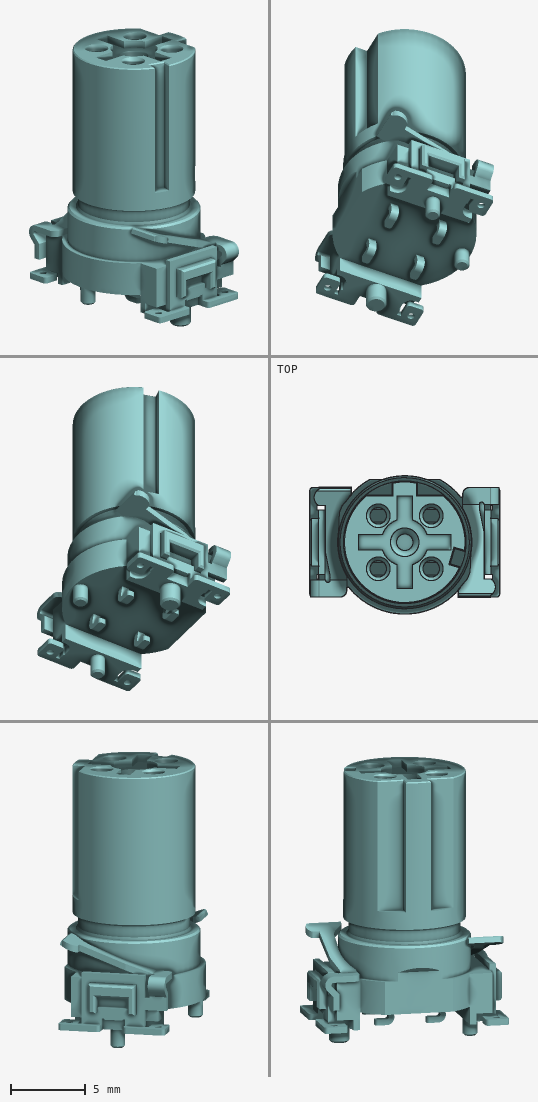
import cadquery as cq
import math

total_height = 18.35
feet_bottom_z = 1.35
base_bottom_z = 2.57
base_top_z = 4.83
collar_top_z = 7.21
barrel_bottom_z = 8.28
notch_bottom_z = 9.47

barrel_dia = 8.2
rim_chamfer = 0.07
neck_dia = 7.5
neck_flare_r = 3.89
neck_flare_height = 0.17
barrel_lip_r = 3.84
collar_dia = 8.9
collar_chamfer = 0.13
base_r = 4.8
base_flat_y = 4.2
flat_slope_bottom_z = 5.41
flat_slope_top_z = 5.73
block_outer_x = 5.34
block_inner_x = 3.78
block_half_y = 3.01

peg_x = 4.5
locating_peg_dia = 1.0
wide_peg_dia = 1.38
post_dia = 1.01
post_y = -4.24
peg_chamfer = 0.13

bore_pitch = 3.55
bore_dia = 1.1
bore_mouth_r = 0.79
centre_mouth_r = 1.9 / 2
mouth_depth = 0.4
cross_depth = 0.5
cross_arm_length = 3.08
cross_arm_width = 1.03
cross_hub_r = 1.58
key_ledge_y = 3.15
key_tab_width = 1.72
slot_width = 1.06
slot_inner_r = 3.32
slot_angle = -16.3

sheet = 0.42
clip_outer_x = 6.35
plate_half_y = 2.17
plate_outer_x = block_outer_x + sheet
tab_top_z = base_top_z + sheet

catch_half_y = 1.58
catch_bottom_z = 2.6
catch_top_z = 4.59
catch_leg_width = 0.45
catch_bar_height = 0.85
catch_chamfer = 0.13
window_gap = 0.05
tongue_top_z = 2.92

foot_top_z = feet_bottom_z + sheet
foot_inner_x = 4.73
foot_pad_y = 2.45
foot_notch_x = 5.85
foot_end_y = 3.67
foot_gap_half_y = 0.8
foot_corner_r = 0.22
foot_hole_dia = 0.5
foot_hole_x = 5.58
foot_hole_y = 3.06
edge_notch_top_z = 2.11
relief_width = 0.18
relief_height = 0.07

pocket_top_z = 2.1
pocket_inner_x = 4.22
pocket_inner_y = 2.1
pocket_corner_r = 0.66

arm_root_y = 2.51
arm_end_y = 3.67
tab_inner_x = 3.87
tab_corner_r = 0.45
ear_top_z = 3.73
curl_outer_x = 6.31
curl_outer_r = 0.59
curl_inner_r = curl_outer_r - sheet
arm_tilt = 20.0
arm_tip_y = 3.55
arm_tip_chamfer = 0.11
arm_outer_x = 5.28
arm_inner_x = 4.37
arm_slit_x = 5.0
arm_slit_y = 2.2
arm_slit_end_y = 2.68
arm_slit_corner_r = 0.13
arm_taper_y = 0.73
head_y = 2.44
head_round_x = 5.75
head_outer_x = 6.05
head_inner_x = 3.56
head_inner_y = 3.17
neck_corner_x = 4.18
neck_top_y = 1.98
collar_gap = 0.04
collar_clearance_r = collar_dia / 2 + collar_gap
waist_end_angle = 10.0

contact_top_z = notch_bottom_z
contact_flat_height = 0.73
contact_flat_half_y = 0.4
leg_width = 0.55
leg_sheet = 0.39
leg_bend_x = -0.05
leg_bend_z = 1.93
leg_bottom_z = 1.4
leg_outer_r = leg_bend_z - leg_bottom_z
leg_inner_r = leg_outer_r - leg_sheet
leg_lean = 15.0
leg_tip_x = 0.72
leg_tip_corner_r = 0.18

bore_centres = [(sx * bore_pitch / 2, sy * bore_pitch / 2) for sx in (-1, 1) for sy in (-1, 1)]


def box(x0, x1, y0, y1, z0, z1):
    """Axis-aligned box between two corners."""
    return cq.Workplane("XY").box(x1 - x0, y1 - y0, z1 - z0, centered=False).translate((x0, y0, z0))


def disc(diameter, z0, z1, x=0.0, y=0.0):
    """Upright cylinder between two heights."""
    return cq.Workplane("XY", origin=(x, y, z0)).circle(diameter / 2).extrude(z1 - z0)


def housing_body():
    """Turned barrel, neck and collar, keyed at the rim, on a round base with one flat side."""
    barrel_r = barrel_dia / 2
    neck_r = neck_dia / 2
    collar_r = collar_dia / 2
    turned = (
        cq.Workplane("XZ")
        .moveTo(0, base_top_z)
        .lineTo(collar_r, base_top_z)
        .lineTo(collar_r, collar_top_z - collar_chamfer)
        .lineTo(collar_r - collar_chamfer, collar_top_z)
        .lineTo(neck_flare_r, collar_top_z)
        .lineTo(neck_r, collar_top_z + neck_flare_height)
        .lineTo(neck_r, barrel_bottom_z - neck_flare_height)
        .lineTo(barrel_lip_r, barrel_bottom_z)
        .lineTo(barrel_r, barrel_bottom_z)
        .lineTo(barrel_r, total_height)
        .lineTo(0, total_height)
        .close()
        .revolve(360, (0, 0, 0), (0, 1, 0))
    )
    flat_cutter = (
        cq.Workplane("YZ")
        .polyline([
            (base_flat_y, base_bottom_z),
            (base_flat_y, flat_slope_bottom_z),
            (collar_r, flat_slope_top_z),
            (base_r, flat_slope_top_z),
            (base_r, base_bottom_z),
        ])
        .close()
        .extrude(base_r, both=True)
    )
    barrel = turned.cut(key_recesses()).cut(rim_slot()).faces(">Z").edges().chamfer(rim_chamfer)
    return barrel.union(disc(2 * base_r, base_bottom_z, base_top_z)).cut(flat_cutter)


def side_block():
    """Block that carries one clip on the -X side, with its catch and foot pockets."""
    upper = box(-block_outer_x, 0, -block_half_y, block_half_y, base_bottom_z, base_top_z)
    lower = box(-block_outer_x, -block_inner_x, -block_half_y, block_half_y, feet_bottom_z, base_bottom_z)
    block = upper.union(lower)
    for side in (-1, 1):
        y0, y1 = sorted((side * pocket_inner_y, side * block_half_y))
        pocket = box(-block_outer_x, -pocket_inner_x, y0, y1, feet_bottom_z, pocket_top_z)
        inner_corner = "|Z and >X and " + ("<Y" if side > 0 else ">Y")
        block = block.cut(pocket.edges(inner_corner).fillet(pocket_corner_r))
    return block.union(catch())


def catch():
    """Arch-shaped catch that stands out through the clip window."""
    bar = box(-clip_outer_x, -block_outer_x, -catch_half_y, catch_half_y, catch_bottom_z, catch_top_z)
    opening_half_y = catch_half_y - catch_leg_width
    opening_top_z = catch_top_z - catch_bar_height
    opening = box(
        -clip_outer_x, -block_outer_x, -opening_half_y, opening_half_y, catch_bottom_z, opening_top_z
    )
    return bar.cut(opening).faces("<X").edges().chamfer(catch_chamfer)


def foot_peg(diameter, x, y, z0, z1):
    """Round peg with a chamfered tip."""
    return disc(diameter, z0, z1, x, y).faces("<Z").chamfer(peg_chamfer)


def flared_mouth(x, y, mouth_r, top_z):
    """Conical cutter that widens a bore to the mouth radius."""
    mouth = cq.Solid.makeCone(
        bore_dia / 2, mouth_r, mouth_depth, cq.Vector(x, y, top_z - mouth_depth), cq.Vector(0, 0, 1)
    )
    return cq.Workplane(mouth)


def cross_recess():
    """Cutter for the cross with a round hub in the mating face."""
    floor_z = total_height - cross_depth
    half = cross_arm_width / 2
    arm_x = box(-cross_arm_length, cross_arm_length, -half, half, floor_z, total_height)
    arm_y = box(-half, half, -cross_arm_length, cross_arm_length, floor_z, total_height)
    return disc(2 * cross_hub_r, floor_z, total_height).union(arm_x).union(arm_y)


def key_recesses():
    """Cutter for the two ledges that leave a key tab on the +Y side of the barrel."""
    reach = barrel_dia / 2
    ledge = box(-reach, reach, key_ledge_y, reach, notch_bottom_z, total_height)
    tab = box(-key_tab_width / 2, key_tab_width / 2, key_ledge_y, reach, notch_bottom_z, total_height)
    return ledge.cut(tab)


def rim_slot():
    """Cutter for the radial slot in the barrel rim, long enough to open through the wall."""
    half = slot_width / 2
    slot = box(slot_inner_r, collar_dia / 2, -half, half, notch_bottom_z, total_height)
    return slot.rotate((0, 0, 0), (0, 0, 1), slot_angle)


def make_housing():
    """Housing with both side blocks, its pegs and post, and the openings of the mating face."""
    block = side_block()
    housing = housing_body().union(block).union(block.rotate((0, 0, 0), (0, 0, 1), 180))
    housing = (
        housing.union(foot_peg(locating_peg_dia, -peg_x, 0, 0, feet_bottom_z))
        .union(foot_peg(wide_peg_dia, peg_x, 0, 0, feet_bottom_z))
        .union(foot_peg(post_dia, 0, post_y, feet_bottom_z, base_bottom_z))
    )
    floor_z = total_height - cross_depth
    housing = housing.cut(cross_recess()).cut(flared_mouth(0, 0, centre_mouth_r, floor_z))
    for x, y in bore_centres:
        housing = housing.cut(flared_mouth(x, y, bore_mouth_r, total_height))
        housing = housing.cut(disc(bore_dia, base_bottom_z, total_height, x, y))
    return housing


def clip_plate():
    """Upright plate with a window around the catch and an ear below the arm."""
    plate = box(-plate_outer_x, -block_outer_x, -plate_half_y, plate_half_y, foot_top_z, tab_top_z)
    ear = box(-plate_outer_x, -block_outer_x, -arm_end_y, -plate_half_y, tongue_top_z, ear_top_z)
    window_half_y = catch_half_y + window_gap
    window_bottom_z = catch_bottom_z - window_gap
    window_top_z = catch_top_z + window_gap
    window = box(
        -plate_outer_x, -block_outer_x, -window_half_y, window_half_y, window_bottom_z, window_top_z
    )
    tongue_half_y = catch_half_y - catch_leg_width - window_gap
    tongue = box(
        -plate_outer_x, -block_outer_x, -tongue_half_y, tongue_half_y, window_bottom_z, tongue_top_z
    )
    edge_notch = box(
        -plate_outer_x, -block_outer_x, -foot_gap_half_y, foot_gap_half_y, foot_top_z, edge_notch_top_z
    )
    plate = plate.union(ear).cut(window).union(tongue).cut(edge_notch)
    for y in (-foot_gap_half_y, foot_gap_half_y - relief_width):
        relief_top_z = edge_notch_top_z + relief_height
        plate = plate.cut(
            box(-plate_outer_x, -block_outer_x, y, y + relief_width, foot_top_z, relief_top_z)
        )
    return plate


def clip_foot():
    """Soldering foot on the +Y half: a strip along the plate and a drilled pad at its end."""
    return (
        cq.Workplane("XY", origin=(0, 0, feet_bottom_z))
        .polyline([
            (-clip_outer_x, foot_gap_half_y),
            (-block_outer_x, foot_gap_half_y),
            (-block_outer_x, plate_half_y),
            (-foot_notch_x, plate_half_y),
            (-foot_notch_x, foot_pad_y),
            (-foot_inner_x, foot_pad_y),
            (-foot_inner_x, foot_end_y),
            (-clip_outer_x, foot_end_y),
        ])
        .close()
        .extrude(sheet)
        .edges("|Z and (<X or >X)")
        .fillet(foot_corner_r)
        .cut(disc(foot_hole_dia, feet_bottom_z, foot_top_z, -foot_hole_x, foot_hole_y))
    )


def clip_curl():
    """Strip that jogs outward from the ear and curls over into a flat tab on the block.

    Each face of the curl turns from the flat tab to a 45 degree slope that leads to the plate.
    """
    centre_x = -curl_outer_x + curl_outer_r
    centre_z = tab_top_z - curl_outer_r

    def curl_point(radius, angle):
        turn = math.radians(angle)
        return centre_x + radius * math.cos(turn), centre_z + radius * math.sin(turn)

    def slope_foot(radius, plate_x):
        slope_x, slope_z = curl_point(radius, 225)
        return plate_x, slope_z - (plate_x - slope_x)

    strip = (
        cq.Workplane("XZ", origin=(0, -arm_root_y, 0))
        .moveTo(-plate_outer_x, tongue_top_z)
        .lineTo(*slope_foot(curl_outer_r, -plate_outer_x))
        .lineTo(*curl_point(curl_outer_r, 225))
        .threePointArc(curl_point(curl_outer_r, 157.5), curl_point(curl_outer_r, 90))
        .lineTo(-tab_inner_x, tab_top_z)
        .lineTo(-tab_inner_x, base_top_z)
        .lineTo(*curl_point(curl_inner_r, 90))
        .threePointArc(curl_point(curl_inner_r, 157.5), curl_point(curl_inner_r, 225))
        .lineTo(*slope_foot(curl_inner_r, -block_outer_x))
        .lineTo(-block_outer_x, tongue_top_z)
        .close()
        .extrude(arm_end_y - arm_root_y)
    )
    return strip.edges("|Z and >X and <Y").fillet(tab_corner_r)


def clip_arm():
    """Sloping arm with a wide head, cut to its plan outline from a tilted sheet."""
    slope = math.radians(arm_tilt)
    rise = (arm_tip_y + arm_root_y) * math.tan(slope)
    shift_y = sheet * math.sin(slope)
    shift_z = sheet * math.cos(slope)
    tilted_sheet = (
        cq.Workplane("YZ", origin=(-clip_outer_x, 0, 0))
        .polyline([
            (-arm_root_y, tab_top_z),
            (arm_tip_y, tab_top_z + rise),
            (arm_tip_y + shift_y, tab_top_z + rise - shift_z),
            (-arm_root_y + shift_y, tab_top_z - shift_z),
            (-arm_root_y, base_top_z),
        ])
        .close()
        .extrude(clip_outer_x)
        .edges(">Z")
        .chamfer(arm_tip_chamfer)
    )
    waist_y = math.sqrt(collar_clearance_r**2 - tab_inner_x**2)
    waist_end_turn = math.radians(waist_end_angle)
    waist_end = (
        -collar_clearance_r * math.cos(waist_end_turn),
        collar_clearance_r * math.sin(waist_end_turn),
    )
    far_y = arm_tip_y + sheet
    plan = (
        cq.Workplane("XY", origin=(0, 0, base_top_z))
        .moveTo(-arm_slit_x, -arm_root_y)
        .lineTo(-arm_slit_x, -arm_slit_y)
        .lineTo(-arm_outer_x, -arm_taper_y)
        .lineTo(-arm_outer_x, head_y)
        .lineTo(-head_round_x, head_y)
        .threePointArc((-head_outer_x, (head_y + arm_tip_y) / 2), (-head_round_x, arm_tip_y))
        .lineTo(-head_round_x, far_y)
        .lineTo(-head_inner_x, far_y)
        .lineTo(-head_inner_x, head_inner_y)
        .lineTo(-neck_corner_x, head_y)
        .lineTo(-arm_inner_x, neck_top_y)
        .lineTo(*waist_end)
        .threePointArc((-collar_clearance_r, 0), (-tab_inner_x, -waist_y))
        .lineTo(-tab_inner_x, -arm_root_y)
        .close()
        .extrude(total_height - base_top_z)
    )
    return tilted_sheet.intersect(plan)


def arm_slit():
    """Cutter for the rounded slit that frees the root of the arm from the tab."""
    slit = box(-arm_outer_x, -arm_slit_x, -arm_slit_end_y, -arm_root_y, base_top_z, tab_top_z)
    return slit.edges("|Z and <Y").fillet(arm_slit_corner_r)


def make_clip(angle):
    """One sheet clip, built on the -X side and turned about the housing axis."""
    foot = clip_foot()
    clip = clip_plate().union(foot).union(foot.mirror("XZ"))
    clip = clip.union(clip_curl().cut(arm_slit())).union(clip_arm())
    return clip.rotate((0, 0, 0), (0, 0, 1), angle)


def make_contact(x, y):
    """Round shank that fills its bore, with a flat tip above and a J-shaped leg below."""
    shank = disc(bore_dia, base_bottom_z, contact_top_z)
    tip_bottom_z = contact_top_z - contact_flat_height
    reach = bore_dia / 2
    for y0, y1 in ((-reach, -contact_flat_half_y), (contact_flat_half_y, reach)):
        shank = shank.cut(box(-reach, reach, y0, y1, tip_bottom_z, contact_top_z))
    return shank.union(contact_leg()).translate((x, y, 0))


def contact_leg():
    """Leaning strip bent into a foot that points to +X."""
    lean = math.radians(leg_lean)

    def bend_point(radius, angle):
        return leg_bend_x - radius * math.cos(angle), leg_bend_z + radius * math.sin(angle)

    def top_point(radius):
        start_x, start_z = bend_point(radius, lean)
        return start_x + (base_bottom_z - start_z) * math.tan(lean), base_bottom_z

    middle = (lean - math.pi / 2) / 2
    leg = (
        cq.Workplane("XZ")
        .moveTo(*top_point(leg_outer_r))
        .lineTo(*bend_point(leg_outer_r, lean))
        .threePointArc(bend_point(leg_outer_r, middle), bend_point(leg_outer_r, -math.pi / 2))
        .lineTo(leg_tip_x, leg_bottom_z)
        .lineTo(leg_tip_x, leg_bottom_z + leg_sheet)
        .lineTo(*bend_point(leg_inner_r, -math.pi / 2))
        .threePointArc(bend_point(leg_inner_r, middle), bend_point(leg_inner_r, lean))
        .lineTo(*top_point(leg_inner_r))
        .close()
        .extrude(leg_width / 2, both=True)
    )
    return leg.edges("|Z and >X").fillet(leg_tip_corner_r)


housing = make_housing()
clips = [make_clip(angle) for angle in (0, 180)]
contacts = [make_contact(x, y) for x, y in bore_centres]

result = cq.Compound.makeCompound(
    [housing.val()] + [clip.val() for clip in clips] + [contact.val() for contact in contacts]
)